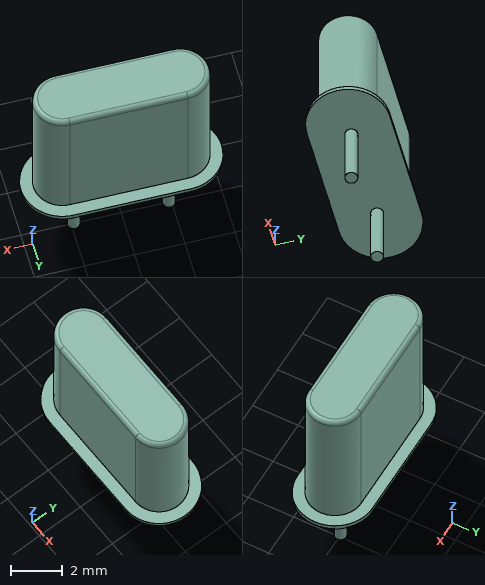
import cadquery as cq

total_height = 9.0
can_length = 7.0
can_width = 2.3
flange_overhang = 0.5
flange_thickness = 0.2
top_fillet = 0.2
pin_length = 3.0
pin_diameter = 0.5
pin_spacing = 3.8

flange_length = can_length + 2 * flange_overhang
flange_width = can_width + 2 * flange_overhang
can_top = total_height - pin_length


def oblong_plate(length, width, height):
    """Solid with a round-ended outline, standing on Z = 0."""
    return cq.Workplane("XY").slot2D(length, width).extrude(height)


def make_can():
    """Closed can with a rounded top edge, rising from the flange underside."""
    return oblong_plate(can_length, can_width, can_top).faces(">Z").edges().fillet(top_fillet)


def make_pins():
    """Two round leads reaching down from the top of the flange."""
    half_spacing = pin_spacing / 2
    return (
        cq.Workplane("XY", origin=(0, 0, flange_thickness))
        .pushPoints([(-half_spacing, 0), (half_spacing, 0)])
        .circle(pin_diameter / 2)
        .extrude(-(pin_length + flange_thickness))
    )


flange = oblong_plate(flange_length, flange_width, flange_thickness)
result = flange.union(make_can()).union(make_pins())